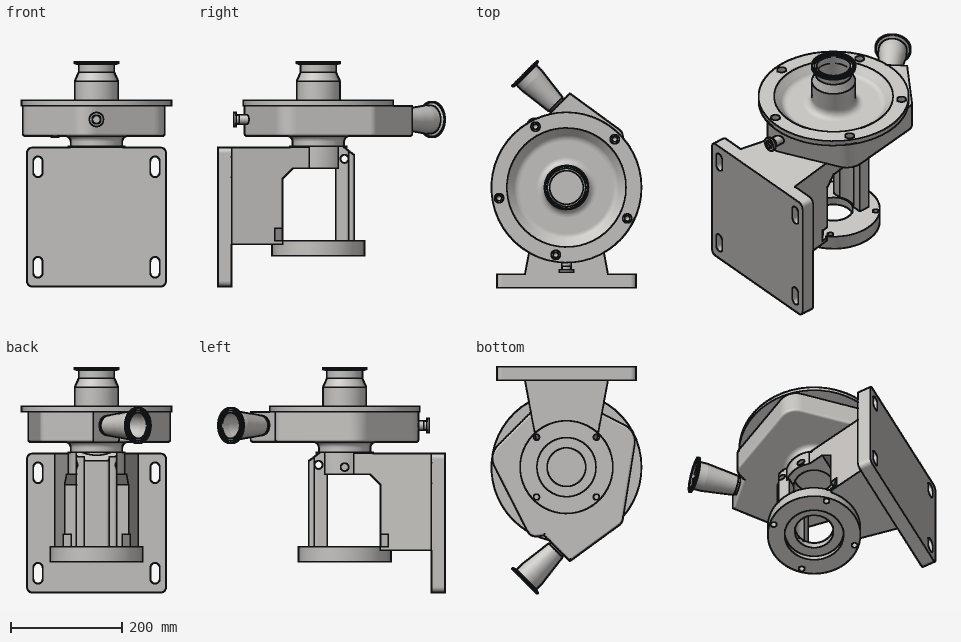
import cadquery as cq
import math


FLANGE_RADIUS = 270.0 / 2
FLANGE_THICKNESS = 10.2
RECESS_DEPTH = 16.7
RECESS_RIM_RADIUS = 107.0
RECESS_WALL_TOP_RADIUS = 105.0
RECESS_WALL_BOTTOM_RADIUS = 95.0
RECESS_FLOOR_RADIUS = 83.7
RECESS_RIM_DROP = 2.5
RECESS_CURVE_DROP = 5.5

CORNER_COUNT = 5
FIRST_CORNER_ANGLE = -99
SCREW_CIRCLE_RADIUS = 122.5
SCREW_HEAD_RADIUS = 8
SCREW_HEAD_DEPTH = 13.0
SCREW_HOLE_RADIUS = 5.0
SCREW_HOLE_DEPTH = 24.5
SCREW_TIP_DEPTH = 3.0

CASING_BOTTOM = -64.5
CASING_APOTHEM = 114.7
CASING_ROUND = 34.0
OUTLET_SIDE_ROUND = 16.5
CASING_EDGE_ROUND = 4.5
OUTLET_BLOCK_PEAK = (6.0, 169.0)
PORT_Z = -34.7

INLET_TOP = 68.5
INLET_CLAMP_RADIUS = 39.5
INLET_CLAMP_THICKNESS = 2.5
INLET_NECK_RADIUS = 32.3
INLET_NECK_BOTTOM = 50.0
INLET_BODY_RADIUS = 39.0
INLET_BODY_TOP = 34.5
INLET_FOOT_ROUND = 14.5
INLET_BORE_RADIUS = 30.2

OUTLET_ANGLE = 135
OUTLET_OFFSET = 92.0
OUTLET_END = 198.0
OUTLET_CLAMP_RADIUS = 32.3
OUTLET_CLAMP_THICKNESS = 2.5
OUTLET_WIDE_RADIUS = 25.5
OUTLET_WIDE_LENGTH = 19.5
OUTLET_NARROW_RADIUS = 18.0
OUTLET_THROAT_RADIUS = 16.5
OUTLET_THROAT_LENGTH = 4
OUTLET_WALL = 2.0

CLAMP_BACK_TAPER = 2.0
GROOVE_INSET = 2.0
GROOVE_WIDTH = 3.3
GROOVE_DEPTH = 1.0

DRAIN_END = 152.5
DRAIN_CLAMP_RADIUS = 12.5
DRAIN_CLAMP_THICKNESS = 5.0
DRAIN_RADIUS = 8.5
DRAIN_BORE_RADIUS = 7.5

NECK_RADIUS = 46.5
NECK_ROUND = 10.0
NECK_BOTTOM = -83.0

COLLAR_RADIUS = 51.0
COLLAR_BOTTOM = -122.5
BRACKET_BORE_RADIUS = 36.8
PIN_RADIUS = 14.3 / 2
COLLAR_PIN_Z = -109.5
COLLAR_PIN_DEPTH = 8
WEB_BOTTOM = -259.0
WEB_FRONT_Y = -64.0
WEB_TIP_Y = -16.5
WEB_CHAMFER = 18.8
WEB_BASE_HALF_WIDTH = 74.7
NOTCH_TOP = -230.0
NOTCH_DEPTH = 14.3
RING_RADIUS = 83.5
RING_BORE_RADIUS = 34.7
RING_RECESS_RADIUS = 53
RING_RECESS_DEPTH = 11.5
RING_TOP = -252.5
RING_BOTTOM = -279.7
RING_BOLT_CIRCLE_RADIUS = 76.0
RING_BOLT_RADIUS = 5.5
POST_HALF_WIDTH = 36.5
POST_FRONT_Y = 31.0
POST_SHOULDER_Y = 54.7
POST_RIB_HALF_WIDTH = 22.5
POST_BACK_Y = 64.5
POST_ROUND = 5.0
POST_CHAMFER_WIDTH = 20.5
POST_CHAMFER_HEIGHT = 15.5
POST_PIN_Y = 47.0
POST_PIN_Z = -105.5

OVERALL_LENGTH = 408.5
OUTLET_RIM_Y = (OUTLET_END + OUTLET_OFFSET + OUTLET_CLAMP_RADIUS) * math.sin(math.radians(OUTLET_ANGLE))
PLATE_SIZE = 250.0
PLATE_THICKNESS = 25.0
PLATE_BACK_Y = OUTLET_RIM_Y - OVERALL_LENGTH
PLATE_TOP = -85.0
PLATE_ROUND = 10.0
SLOT_SPACING_X = 210.5
SLOT_SPACING_Z = 180.5
SLOT_LENGTH = 36.8
SLOT_WIDTH = 16.5


def polar(radius, angle):
    """Point in the XY plane at an angle in degrees."""
    return (radius * math.cos(math.radians(angle)), radius * math.sin(math.radians(angle)))


def cylinder(radius, bottom, top, center=(0, 0)):
    """Upright cylinder between two heights."""
    return cq.Workplane("XY", origin=(*center, bottom)).circle(radius).extrude(top - bottom)


def turned(profile):
    """Solid of revolution about Z from (radius, height) points that start and end on the axis."""
    return cq.Workplane("XZ").polyline(profile).close().revolve(360, (0, 0), (0, 1))


def aim(solid, angle, offset):
    """Lay a Z-axis solid down along a horizontal direction, shifted to the right of that direction."""
    shift = polar(offset, angle - 90)
    return (
        solid.rotate((0, 0, 0), (0, 1, 0), 90)
        .rotate((0, 0, 0), (0, 0, 1), angle)
        .translate((*shift, PORT_Z))
    )


CORNER_ANGLES = [FIRST_CORNER_ANGLE + i * 360 / CORNER_COUNT for i in range(CORNER_COUNT)]
CORNER_RADIUS = CASING_APOTHEM / math.cos(math.pi / CORNER_COUNT)
OUTLET_FACE = (OUTLET_BLOCK_PEAK[1] - OUTLET_BLOCK_PEAK[0]) / math.sqrt(2)


def make_casing():
    """Rounded pentagon with the outlet block, rounded along its bottom edge."""
    height = -FLANGE_THICKNESS - CASING_BOTTOM
    corners = [polar(CORNER_RADIUS, angle) for angle in CORNER_ANGLES]
    plane = cq.Workplane("XY", origin=(0, 0, CASING_BOTTOM))
    block_outline = [(0, 0), corners[2], OUTLET_BLOCK_PEAK, polar(OUTLET_FACE, OUTLET_ANGLE)]
    block = plane.polyline(block_outline).close().extrude(height)
    casing = plane.polyline(corners).close().extrude(height).union(block)

    def corner_edge(index):
        """Selector for the upright edge at one corner."""
        return cq.selectors.NearestToPointSelector((*corners[index], CASING_BOTTOM + height / 2))

    corner_rounds = [CASING_ROUND, CASING_ROUND, OUTLET_SIDE_ROUND, OUTLET_SIDE_ROUND, CASING_ROUND]
    for index, radius in enumerate(corner_rounds):
        casing = casing.edges("|Z").edges(corner_edge(index)).fillet(radius)
    return casing.faces("<Z").edges().fillet(CASING_EDGE_ROUND)


def make_recess():
    """Dish cut into the cover, with a bevelled rim, conical wall and rounded foot."""
    wall_bottom = (RECESS_WALL_BOTTOM_RADIUS, RECESS_CURVE_DROP - RECESS_DEPTH)
    wall_top = (RECESS_WALL_TOP_RADIUS, -RECESS_RIM_DROP)
    return (
        cq.Workplane("XZ")
        .moveTo(0, -RECESS_DEPTH)
        .lineTo(RECESS_FLOOR_RADIUS, -RECESS_DEPTH)
        .tangentArcPoint(wall_bottom, relative=False)
        .lineTo(*wall_top)
        .lineTo(RECESS_RIM_RADIUS, 0)
        .lineTo(0, 0)
        .close()
        .revolve(360, (0, 0), (0, 1))
    )


def clamp_groove(clamp_radius, end):
    """Ring-shaped gasket groove in the end face of a clamp rim."""
    outer_radius = clamp_radius - GROOVE_INSET
    groove = cylinder(outer_radius, end - GROOVE_DEPTH, end)
    return groove.cut(cylinder(outer_radius - GROOVE_WIDTH, end - GROOVE_DEPTH, end))


def make_inlet():
    """Suction tube with a clamp rim, reducing cone and rounded foot."""
    foot_radius = INLET_BODY_RADIUS + INLET_FOOT_ROUND
    tube = (
        cq.Workplane("XZ")
        .moveTo(0, -RECESS_DEPTH)
        .lineTo(foot_radius, -RECESS_DEPTH)
        .radiusArc((INLET_BODY_RADIUS, INLET_FOOT_ROUND - RECESS_DEPTH), INLET_FOOT_ROUND)
        .lineTo(INLET_BODY_RADIUS, INLET_BODY_TOP)
        .lineTo(INLET_NECK_RADIUS, INLET_NECK_BOTTOM)
        .lineTo(INLET_NECK_RADIUS, INLET_TOP - INLET_CLAMP_THICKNESS - CLAMP_BACK_TAPER)
        .lineTo(INLET_CLAMP_RADIUS, INLET_TOP - INLET_CLAMP_THICKNESS)
        .lineTo(INLET_CLAMP_RADIUS, INLET_TOP)
        .lineTo(0, INLET_TOP)
        .close()
        .revolve(360, (0, 0), (0, 1))
    )
    return tube.cut(clamp_groove(INLET_CLAMP_RADIUS, INLET_TOP))


def make_outlet():
    """Discharge tube: throat, widening cone and clamp rim."""
    cone_start = OUTLET_FACE + OUTLET_THROAT_LENGTH
    cone_end = OUTLET_END - OUTLET_WIDE_LENGTH
    clamp_start = OUTLET_END - OUTLET_CLAMP_THICKNESS
    tube = turned([
        (0, OUTLET_FACE),
        (OUTLET_THROAT_RADIUS, OUTLET_FACE),
        (OUTLET_THROAT_RADIUS, cone_start),
        (OUTLET_NARROW_RADIUS, cone_start),
        (OUTLET_WIDE_RADIUS, cone_end),
        (OUTLET_WIDE_RADIUS, clamp_start - CLAMP_BACK_TAPER),
        (OUTLET_CLAMP_RADIUS, clamp_start),
        (OUTLET_CLAMP_RADIUS, OUTLET_END),
        (0, OUTLET_END),
    ])
    bore = turned([
        (0, OUTLET_FACE),
        (OUTLET_NARROW_RADIUS - OUTLET_WALL, OUTLET_FACE),
        (OUTLET_NARROW_RADIUS - OUTLET_WALL, cone_start),
        (OUTLET_WIDE_RADIUS - OUTLET_WALL, cone_end),
        (OUTLET_WIDE_RADIUS - OUTLET_WALL, OUTLET_END),
        (0, OUTLET_END),
    ])
    tube = tube.cut(bore).cut(clamp_groove(OUTLET_CLAMP_RADIUS, OUTLET_END))
    return aim(tube, OUTLET_ANGLE, OUTLET_OFFSET)


def make_drain():
    """Short clamp-ended nozzle with a blind bore up to the casing wall."""
    drain = cylinder(DRAIN_RADIUS, CASING_APOTHEM, DRAIN_END)
    drain = drain.union(cylinder(DRAIN_CLAMP_RADIUS, DRAIN_END - DRAIN_CLAMP_THICKNESS, DRAIN_END))
    drain = drain.cut(cylinder(DRAIN_BORE_RADIUS, CORNER_RADIUS, DRAIN_END))
    return aim(drain, -90, 0)


def make_neck():
    """Round neck with a flared root under the casing."""
    root_radius = NECK_RADIUS + NECK_ROUND
    return (
        cq.Workplane("XZ")
        .moveTo(0, CASING_BOTTOM)
        .lineTo(root_radius, CASING_BOTTOM)
        .radiusArc((NECK_RADIUS, CASING_BOTTOM - NECK_ROUND), -NECK_ROUND)
        .lineTo(NECK_RADIUS, NECK_BOTTOM)
        .lineTo(0, NECK_BOTTOM)
        .close()
        .revolve(360, (0, 0), (0, 1))
    )


def make_web():
    """Tapered web from the plate to the collar, with its notches over the ring bolts."""
    plate_y = PLATE_BACK_Y + PLATE_THICKNESS
    tip_half_width = math.sqrt(COLLAR_RADIUS**2 - WEB_TIP_Y**2)
    side_profile = [
        (plate_y, PLATE_TOP),
        (WEB_TIP_Y, PLATE_TOP),
        (WEB_TIP_Y, COLLAR_BOTTOM),
        (WEB_FRONT_Y + WEB_CHAMFER, COLLAR_BOTTOM),
        (WEB_FRONT_Y, COLLAR_BOTTOM - WEB_CHAMFER),
        (WEB_FRONT_Y, WEB_BOTTOM),
        (plate_y, WEB_BOTTOM),
    ]
    plan = [
        (-WEB_BASE_HALF_WIDTH, plate_y),
        (-tip_half_width, WEB_TIP_Y),
        (tip_half_width, WEB_TIP_Y),
        (WEB_BASE_HALF_WIDTH, plate_y),
    ]
    web = cq.Workplane("YZ").polyline(side_profile).close().extrude(WEB_BASE_HALF_WIDTH, both=True)
    taper = cq.Workplane("XY", origin=(0, 0, WEB_BOTTOM)).polyline(plan).close()
    web = web.intersect(taper.extrude(PLATE_TOP - WEB_BOTTOM))

    slope = (WEB_BASE_HALF_WIDTH - tip_half_width) / (WEB_TIP_Y - plate_y)
    notch_y = WEB_FRONT_Y - NOTCH_DEPTH
    notch_x = tip_half_width + slope * (WEB_TIP_Y - notch_y)
    for side in (-1, 1):
        notch = (
            cq.Workplane("XY", origin=(0, 0, RING_TOP))
            .polyline([
                (side * notch_x, notch_y),
                (side * (notch_x - NOTCH_DEPTH), WEB_FRONT_Y),
                (side * notch_x, WEB_FRONT_Y),
            ])
            .close()
            .extrude(NOTCH_TOP - RING_TOP)
        )
        web = web.cut(notch)
    return web


def make_post():
    """Back post with a rib along its back, rounded back edges and a sloped top."""

    def bar(half_width, back_y):
        """Upright bar behind the shaft with its two back edges rounded."""
        depth = back_y - POST_FRONT_Y
        return (
            cq.Workplane("XY", origin=(0, POST_FRONT_Y + depth / 2, RING_TOP))
            .rect(2 * half_width, depth)
            .extrude(NECK_BOTTOM - RING_TOP)
            .edges("|Z and >Y")
            .fillet(POST_ROUND)
        )

    post = bar(POST_HALF_WIDTH, POST_SHOULDER_Y).union(bar(POST_RIB_HALF_WIDTH, POST_BACK_Y))
    slope = (
        cq.Workplane("YZ")
        .polyline([
            (POST_BACK_Y, NECK_BOTTOM),
            (POST_BACK_Y - POST_CHAMFER_WIDTH, NECK_BOTTOM),
            (POST_BACK_Y, NECK_BOTTOM - POST_CHAMFER_HEIGHT),
        ])
        .close()
        .extrude(POST_HALF_WIDTH, both=True)
    )
    return post.cut(slope)


def make_bracket():
    """Collar, back post, motor ring and web around the shaft bore."""
    bracket = cylinder(COLLAR_RADIUS, COLLAR_BOTTOM, NECK_BOTTOM)
    bracket = bracket.union(make_post()).union(make_web())
    bracket = bracket.cut(cylinder(BRACKET_BORE_RADIUS, RING_TOP, NECK_BOTTOM))
    bracket = bracket.union(cylinder(RING_RADIUS, RING_BOTTOM, RING_TOP))
    bracket = bracket.cut(cylinder(RING_BORE_RADIUS, RING_BOTTOM, RING_TOP))
    bracket = bracket.cut(cylinder(RING_RECESS_RADIUS, RING_BOTTOM, RING_BOTTOM + RING_RECESS_DEPTH))
    for angle in (45, 135, 225, 315):
        center = polar(RING_BOLT_CIRCLE_RADIUS, angle)
        bracket = bracket.cut(cylinder(RING_BOLT_RADIUS, RING_BOTTOM, RING_TOP, center))
    post_pin = (
        cq.Workplane("YZ")
        .center(POST_PIN_Y, POST_PIN_Z)
        .circle(PIN_RADIUS)
        .extrude(POST_HALF_WIDTH, both=True)
    )
    collar_pin = (
        cq.Workplane("YZ", origin=(-COLLAR_RADIUS, 0, COLLAR_PIN_Z))
        .circle(PIN_RADIUS)
        .extrude(COLLAR_PIN_DEPTH)
    )
    return bracket.cut(post_pin).cut(collar_pin)


def make_plate():
    """Square mounting plate with rounded corners and four upright slots."""
    return (
        cq.Workplane("XZ", origin=(0, PLATE_BACK_Y, PLATE_TOP - PLATE_SIZE / 2))
        .rect(PLATE_SIZE, PLATE_SIZE)
        .extrude(-PLATE_THICKNESS)
        .edges("|Y")
        .fillet(PLATE_ROUND)
        .faces("<Y")
        .workplane(origin=(0, PLATE_BACK_Y, PLATE_TOP - PLATE_SIZE / 2))
        .rarray(SLOT_SPACING_X, SLOT_SPACING_Z, 2, 2)
        .slot2D(SLOT_LENGTH, SLOT_WIDTH, 90)
        .cutThruAll()
    )


def cut_cover_screws(body):
    """Counterbored blind screw holes with pointed ends at the casing corners."""
    screw_hole = turned([
        (0, 0),
        (SCREW_HEAD_RADIUS, 0),
        (SCREW_HEAD_RADIUS, -SCREW_HEAD_DEPTH),
        (SCREW_HOLE_RADIUS, -SCREW_HEAD_DEPTH),
        (SCREW_HOLE_RADIUS, -SCREW_HOLE_DEPTH),
        (0, -SCREW_HOLE_DEPTH - SCREW_TIP_DEPTH),
    ])
    for angle in CORNER_ANGLES:
        body = body.cut(screw_hole.translate((*polar(SCREW_CIRCLE_RADIUS, angle), 0)))
    return body


pump = make_casing().union(cylinder(FLANGE_RADIUS, -FLANGE_THICKNESS, 0)).cut(make_recess())
pump = cut_cover_screws(pump)
pump = pump.union(make_inlet()).cut(cylinder(INLET_BORE_RADIUS, PORT_Z, INLET_TOP))
pump = pump.union(make_outlet()).union(make_drain()).union(make_neck())
result = pump.union(make_bracket()).union(make_plate())